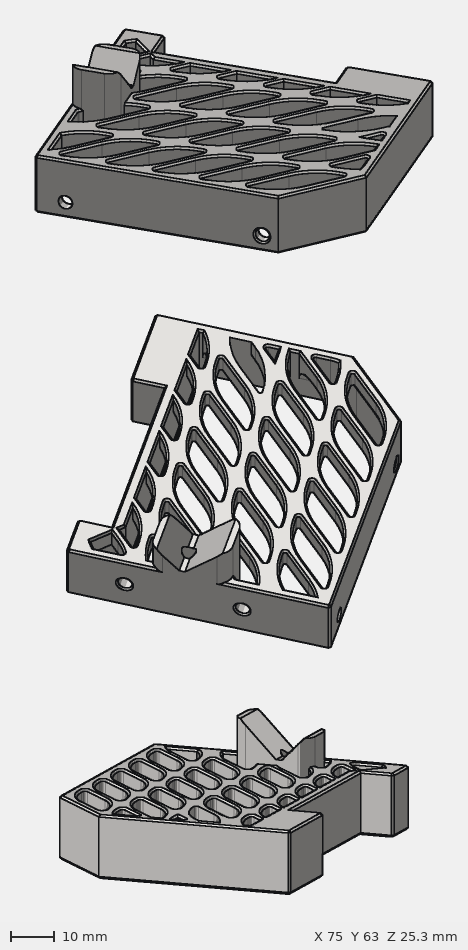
import cadquery as cq
import math

length = 75.0
depth = 63.0
body_height = 15.0
plate_thickness = 4.5
wall = 2.5
edge_chamfer = 0.5
corner_cut = 15.9
slope_wall = 2.25
slope_corner_radius = 10.0

notch_left = 10.0
notch_right = 54.0
notch_y = 55.0
back_wall = 3.0
tab_wall = 1.4

cell_pitch = 11.3
row_pitch = 15.15
row_shift = cell_pitch / 3
row_count = 4
first_column = -2
last_column = 5
leaf_width = 8.5
leaf_height = 12.4
leaf_bend_radius = 15.0
plain_leaf_bend_radius = 18.0
leaf_tip_radius = 0.5
first_leaf_x = 15.1
first_leaf_y = 8.85
web_corner_sum = 62.85
plain_opening = (2, 4)
sharp_tip_opening = (2, 5)

post_length = 11.55
post_front = 24.15
post_back = 43.1
post_top = 25.3
post_back_top = 21.8
post_corner_radius = 3.0
vee_centre_y = 35.4
vee_floor_width = 1.35
vee_floor_z = 16.35
vee_hole_diameter = 3.4

hole_diameter = 3.4
hole_chamfer = 0.41
side_hole_ys = (21.1, 49.1)
side_hole_z = 7.5
boss_diameter = 6.4
boss_end_x = 4.6
front_hole_z = 4.05
front_plain_x = 7.4
front_countersunk_x = 55.1

gusset_radius = 4.5
front_gusset_start = 23.25
front_gusset_end = 32.25
back_gusset_start = 45.5

ceiling = body_height - plate_thickness
inner_right = length - wall
inner_back = notch_y - back_wall
slope_inset = slope_wall * math.sqrt(2)
slope_front_x = length - corner_cut - slope_inset + wall
slope_right_y = corner_cut + slope_inset - wall

rounded_corners = {
    (3, -2): (wall, 1),
    (1, -1): (wall, -1),
    (1, 5): (inner_right, -1),
    (2, 5): (inner_right, -1),
}


def make_body():
    outline = [
        (0, 0),
        (length - corner_cut, 0),
        (length, corner_cut),
        (length, depth),
        (notch_right, depth),
        (notch_right, notch_y),
        (notch_left, notch_y),
        (notch_left, depth),
        (0, depth),
    ]
    body = cq.Workplane("XY").polyline(outline).close().extrude(body_height)
    square_corners = [(0, 0), (0, depth), (length, depth), (notch_left, depth), (notch_right, depth)]
    for x, y in square_corners:
        corner = cq.selectors.NearestToPointSelector((x, y, body_height / 2))
        body = body.edges(corner).chamfer(edge_chamfer)
    return body.faces("<Z").edges().chamfer(edge_chamfer)


def prism(points, bottom, top):
    return cq.Workplane("XY").workplane(offset=bottom).polyline(points).close().extrude(top - bottom)


def round_slope_corner(solid, z):
    corner = cq.selectors.NearestToPointSelector((inner_right, slope_right_y, z))
    return solid.edges("|Z").edges(corner).fillet(slope_corner_radius)


def make_cavity():
    points = [
        (wall, wall),
        (slope_front_x, wall),
        (inner_right, slope_right_y),
        (inner_right, inner_back),
        (notch_left - tab_wall, inner_back),
        (notch_left - tab_wall, depth - wall),
        (wall, depth - wall),
    ]
    return round_slope_corner(prism(points, 0, ceiling), ceiling / 2)


def make_gusset(start_y, end_y):
    arc_x = inner_right - gusset_radius * (1 - math.sqrt(0.5))
    arc_z = ceiling - gusset_radius * (1 - math.sqrt(0.5))
    return (
        cq.Workplane("XZ", origin=(0, start_y, 0))
        .moveTo(inner_right - gusset_radius, ceiling)
        .threePointArc((arc_x, arc_z), (inner_right, ceiling - gusset_radius))
        .lineTo(inner_right, ceiling)
        .close()
        .extrude(start_y - end_y)
    )


def make_window():
    points = [
        (wall, wall),
        (slope_front_x, wall),
        (inner_right, slope_right_y),
        (inner_right, inner_back),
        (web_corner_sum - inner_back, inner_back),
        (wall, web_corner_sum - wall),
    ]
    return round_slope_corner(prism(points, 0, body_height), body_height / 2)


def round_corner(solid, x, y, radius):
    corner = cq.selectors.NearestToPointSelector((x, y, body_height / 2))
    return solid.edges("|Z").edges(corner).fillet(radius)


def make_leaf(bend_radius, left_tip_rounded):
    half_w = leaf_width / 2
    half_h = leaf_height / 2
    points = [
        (-half_w - half_h, -half_h),
        (half_w - half_h, -half_h),
        (half_w + half_h, half_h),
        (-half_w + half_h, half_h),
    ]
    leaf = prism(points, 0, body_height)
    leaf = round_corner(leaf, *points[1], bend_radius)
    leaf = round_corner(leaf, *points[3], bend_radius)
    leaf = round_corner(leaf, *points[2], leaf_tip_radius)
    if left_tip_rounded:
        leaf = round_corner(leaf, *points[0], leaf_tip_radius)
    return leaf


def make_openings():
    """Openings clipped by the inner walls, keyed by (row, column)."""
    window = make_window()
    openings = {}
    for row in range(row_count):
        for column in range(first_column, last_column + 1):
            place = (row, column)
            x = first_leaf_x + column * cell_pitch + row * row_shift
            y = first_leaf_y + row * row_pitch
            bend_radius = plain_leaf_bend_radius if place == plain_opening else leaf_bend_radius
            leaf = make_leaf(bend_radius, place != sharp_tip_opening)
            opening = leaf.translate((x, y, 0)).intersect(window)
            if not opening.solids().vals():
                continue
            if place in rounded_corners:
                wall_x, side = rounded_corners[place]
                corner_y = y + wall_x - x - side * leaf_width / 2
                opening = round_corner(opening, wall_x, corner_y, leaf_tip_radius)
            openings[place] = opening
    return openings


def make_post():
    post = (
        cq.Workplane("XY", origin=(0, 0, edge_chamfer))
        .rect(post_length, post_back - post_front)
        .extrude(post_top - edge_chamfer)
        .edges("|Z")
        .fillet(post_corner_radius)
        .translate((post_length / 2, (post_front + post_back) / 2, 0))
    )
    floor_front = vee_centre_y - vee_floor_width / 2
    floor_back = vee_centre_y + vee_floor_width / 2
    back_rise = post_back_top - vee_floor_z
    front_rise = post_top - vee_floor_z
    vee = (
        cq.Workplane("YZ")
        .polyline([
            (floor_front, vee_floor_z),
            (floor_back, vee_floor_z),
            (floor_back + back_rise, post_back_top),
            (post_back, post_back_top),
            (post_back, post_top),
            (floor_front - front_rise, post_top),
        ])
        .close()
        .extrude(post_length)
    )
    return post.cut(vee)


def make_bosses():
    return (
        cq.Workplane("YZ", origin=(wall, 0, 0))
        .pushPoints([(y, side_hole_z) for y in side_hole_ys])
        .circle(boss_diameter / 2)
        .extrude(boss_end_x - wall)
    )


def countersink(hole_length):
    """A hole along +Z whose mouth at Z = 0 is chamfered."""
    radius = hole_diameter / 2
    points = [
        (0, 0),
        (radius + hole_chamfer, 0),
        (radius, hole_chamfer),
        (radius, hole_length),
        (0, hole_length),
    ]
    return cq.Workplane("XZ").polyline(points).close().revolve(360, (0, 0, 0), (0, 1, 0))


def make_screw_holes():
    holes = (
        cq.Workplane("XZ", origin=(front_plain_x, 0, front_hole_z))
        .circle(hole_diameter / 2)
        .extrude(-wall)
    )
    front_hole = countersink(wall).rotate((0, 0, 0), (1, 0, 0), -90)
    holes = holes.union(front_hole.translate((front_countersunk_x, 0, front_hole_z)))
    side_hole = countersink(boss_end_x).rotate((0, 0, 0), (0, 1, 0), 90)
    for y in side_hole_ys:
        holes = holes.union(side_hole.translate((0, y, side_hole_z)))
    return holes


def make_vee_hole():
    return (
        cq.Workplane("XY", origin=(post_length / 2, vee_centre_y, 0))
        .circle(vee_hole_diameter / 2)
        .extrude(post_top)
    )


result = make_body().cut(make_cavity())
result = result.union(make_gusset(front_gusset_start, front_gusset_end))
result = result.union(make_gusset(back_gusset_start, inner_back))

openings = make_openings()
for place, opening in openings.items():
    if place != plain_opening:
        result = result.cut(opening)
result = result.faces(">Z").edges().chamfer(edge_chamfer)
result = result.cut(openings[plain_opening])

result = result.union(make_post()).union(make_bosses())
result = result.cut(make_screw_holes()).cut(make_vee_hole())